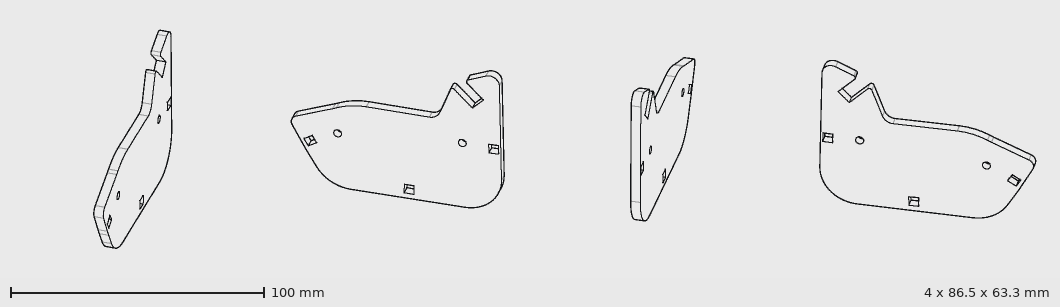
import cadquery as cq
import math

thickness = 4.0
length = 86.45

rear_bottom_radius = 15.0
front_bottom_radius = 16.4
head_radius = 4.0
slot_lip_radius = 1.0
valley_radius = 4.5
brow_radius = 28.5
nose_radius = 3.0
chin_radius = 73.5

outline_corners = [
    (-0.3, 0.0, rear_bottom_radius),
    (1.0, 65.35, head_radius),
    (15.2, 59.2, slot_lip_radius),
    (7.5, 51.5, 0.0),
    (12.0, 47.0, 0.0),
    (20.6, 55.6, slot_lip_radius),
    (26.5, 39.6, valley_radius),
    (62.1, 39.85, brow_radius),
    (69.5, 36.4, 0.0),
    (87.75, 29.0, nose_radius),
    (80.5, 15.5, chin_radius),
    (71.2, 0.0, front_bottom_radius),
]

hole_diameter = 3.2
hole_centers = [(16.2, 29.9), (67.4, 25.25)]

window_size = 4.0
nose_window_height = 3.55
windows = [
    (3.3, 29.3, window_size, window_size, -1.0),
    (38.0, 4.3, window_size, window_size, 1.0),
    (78.7, 19.8, window_size, nose_window_height, -31.0),
]


def round_corner(before, corner, after):
    """Return the start, middle and end of the arc that rounds a corner."""
    point = cq.Vector(corner[0], corner[1])
    to_before = (cq.Vector(before[0], before[1]) - point).normalized()
    to_after = (cq.Vector(after[0], after[1]) - point).normalized()
    radius = corner[2]
    half_angle = to_before.getAngle(to_after) / 2
    setback = radius / math.tan(half_angle)
    middle_distance = radius / math.sin(half_angle) - radius
    bisector = (to_before + to_after).normalized()
    return (
        point + to_before * setback,
        point + bisector * middle_distance,
        point + to_after * setback,
    )


def draw_outline(plane, corners):
    """Draw a closed outline through the corners, rounding those with a radius."""
    first_arc = round_corner(corners[-1], corners[0], corners[1])
    sketch = cq.Workplane(plane).moveTo(first_arc[0].x, first_arc[0].y)
    for index, corner in enumerate(corners):
        after = corners[(index + 1) % len(corners)]
        start, middle, end = round_corner(corners[index - 1], corner, after)
        if index > 0:
            sketch = sketch.lineTo(start.x, start.y)
        if corner[2] > 0:
            sketch = sketch.threePointArc((middle.x, middle.y), (end.x, end.y))
    return sketch.close()


side_plane = cq.Plane(
    origin=(thickness / 2, length / 2, 0),
    xDir=(0, -1, 0),
    normal=(-1, 0, 0),
)

plate = draw_outline(side_plane, outline_corners).extrude(thickness)

holes = cq.Workplane(side_plane).pushPoints(hole_centers).circle(hole_diameter / 2).extrude(thickness)
plate = plate.cut(holes)

for forward, up, width, height, tilt in windows:
    window = (
        cq.Workplane(side_plane)
        .center(forward, up)
        .transformed(rotate=(0, 0, tilt))
        .rect(width, height)
        .extrude(thickness)
    )
    plate = plate.cut(window)

result = plate